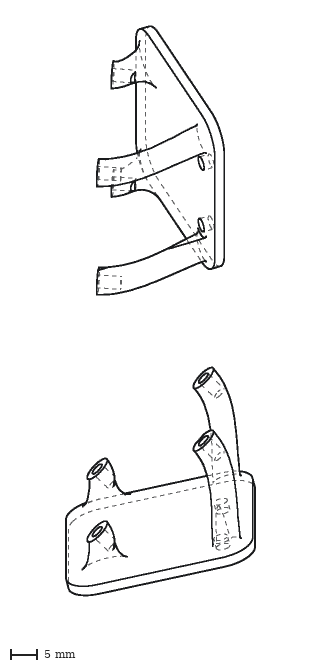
import cadquery as cq
import math

plate_width = 36.7
plate_height = 38.0
plate_thickness = 2.0
plate_corner_radius = 6.0
plate_front = -plate_thickness
plate_middle = -plate_thickness / 2

post_height = 14.0
tip_lean = -30.0
tip_diameter = 5.32
bore_diameter = 2.47
bore_depth = 4.37

short_root = (-12.3, plate_middle)
short_tip = (-10.15, -10.6)
short_root_lean = 20.0
short_diameters = (5.15, 5.0, 4.95, 4.95, tip_diameter)
short_fillet = 4.95

long_root = (13.15, plate_middle)
long_bend = (15.28, -13.68)
long_tip = (14.05, -24.6)
long_root_lean = 7.0
long_diameters = (tip_diameter, 5.1, 4.85, 5.1, tip_diameter)
long_fillet = 1.0

screw_x = 12.0
upper_screw_z = 6.27
lower_screw_z = -9.7
screw_hole_diameter = 2.65
driver_diameter = 5.1
driver_length = 26.6

root_allowance = 0.95
selection_margin = 0.05


def direction(lean):
    """Unit vector pointing out of the plate front, leaning towards +X by the given degrees."""
    angle = math.radians(lean)
    return cq.Vector(math.sin(angle), -math.cos(angle), 0)


def make_plate():
    slab = cq.Workplane("XZ").rect(plate_width, plate_height).extrude(plate_thickness)
    return slab.edges("|Y").fillet(plate_corner_radius)


def make_post(axis_points, root_lean, diameters, z):
    """Round post lofted through circles set square to a curved axis."""
    points = [cq.Vector(x, y, z) for x, y in axis_points]
    axis = cq.Edge.makeSpline(points, tangents=[direction(root_lean), direction(tip_lean)])
    rings = []
    for index, diameter in enumerate(diameters):
        place = index / (len(diameters) - 1)
        ring = cq.Wire.makeCircle(diameter / 2, axis.positionAt(place), axis.tangentAt(place))
        rings.append(ring)
    return cq.Workplane(obj=cq.Solid.makeLoft(rings))


def make_bore(tip, z):
    inward = direction(tip_lean) * -1
    bore = cq.Solid.makeCylinder(bore_diameter / 2, bore_depth, cq.Vector(*tip, z), inward)
    return cq.Workplane(obj=bore)


def root_edges(root, z):
    """Selector for the edges where a post meets the front of the plate."""
    x = root[0]
    y = plate_front
    reach = tip_diameter / 2 + root_allowance
    return cq.selectors.BoxSelector(
        (x - reach, y - selection_margin, z - reach),
        (x + reach, y + selection_margin, z + reach),
        boundingbox=True,
    )


def make_screw_clearance(z, diameter, start_y, length):
    """Cylinder on a screw axis, running forward from start_y."""
    outline = cq.Workplane("XZ", origin=(screw_x, start_y, z)).circle(diameter / 2)
    return outline.extrude(length)


post_levels = (post_height, -post_height)

body = make_plate()
for level in post_levels:
    body = body.union(make_post((short_root, short_tip), short_root_lean, short_diameters, level))
    body = body.union(make_post((long_root, long_bend, long_tip), long_root_lean, long_diameters, level))

for level in post_levels:
    body = body.edges(root_edges(long_root, level)).fillet(long_fillet)
    body = body.edges(root_edges(short_root, level)).fillet(short_fillet)

for level in post_levels:
    body = body.cut(make_bore(short_tip, level))
    body = body.cut(make_bore(long_tip, level))

for level in (upper_screw_z, lower_screw_z):
    body = body.cut(make_screw_clearance(level, screw_hole_diameter, 0, plate_thickness))
driver_path = make_screw_clearance(lower_screw_z, driver_diameter, plate_front, driver_length)
result = body.cut(driver_path)